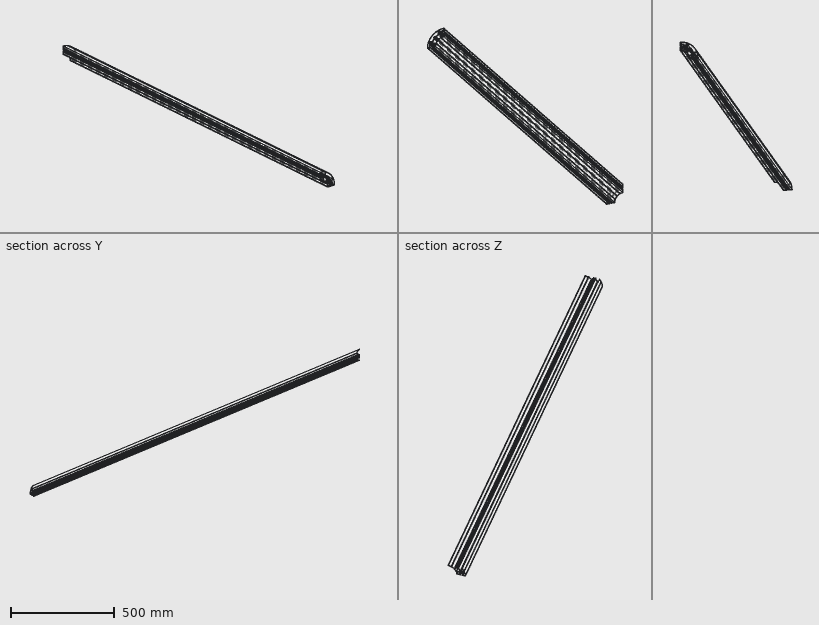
import cadquery as cq
import math

length = 2000.0
outer_size = 89.63
inner_radius = 44.92
corner_radius = 2.5

outer_radius = corner_radius + math.hypot(outer_size - corner_radius, corner_radius)
middle_radius = (outer_radius + inner_radius) / 2

skin = 1.7
end_wall = 3.0
web = 2.8
boss_wall = 2.9

slot_opening = 8.2
slot_width = 15.0
slot_depth = 15.5

end_hole_diameter = 7.28
end_hole_depth = 22.5
core_hole_diameter = 7.34
core_hole_radius = 69.0

outer_web_depth = 31.0
inner_web_depth = 17.6

diagonal = math.sqrt(0.5)
end_hole = (middle_radius, end_hole_depth)
core_hole = (core_hole_radius * diagonal, core_hole_radius * diagonal)


def bar(y_min, y_max, z_min, z_max):
    """Full-length bar of rectangular section."""
    centre = ((y_min + y_max) / 2, (z_min + z_max) / 2)
    return cq.Workplane("YZ").center(*centre).rect(y_max - y_min, z_max - z_min).extrude(length)


def rod(centre, diameter):
    """Full-length round bar."""
    return cq.Workplane("YZ").center(*centre).circle(diameter / 2).extrude(length)


def web_between(start, end):
    """Flat full-length web joining two points of the section."""
    run = end[0] - start[0]
    rise = end[1] - start[1]
    middle = ((start[0] + end[0]) / 2, (start[1] + end[1]) / 2)
    angle = math.degrees(math.atan2(rise, run))
    flat = cq.Workplane("YZ").rect(math.hypot(run, rise), web).extrude(length)
    return flat.rotate((0, 0, 0), (1, 0, 0), angle).translate((0, *middle))


def quarter_ring(outer, inner, wall):
    """Quarter ring whose ends stop short of the end faces by the wall thickness."""
    ring = cq.Workplane("YZ").circle(outer).circle(inner).extrude(length)
    return ring.intersect(bar(wall, outer, wall, outer))


def with_mirror(body):
    """A body together with its mirror image across the plane Y = Z."""
    image = body.mirror("XY").rotate((0, 0, 0), (1, 0, 0), 90)
    return body.union(image)


def slot_housing():
    """Solid material around one T-slot and its lips."""
    half_width = slot_width / 2 + web
    return bar(middle_radius - half_width, middle_radius + half_width, 0, slot_depth + web)


def slot_space():
    """Empty space of one T-slot."""
    half_opening = slot_opening / 2
    half_width = slot_width / 2
    opening = bar(middle_radius - half_opening, middle_radius + half_opening, 0, slot_depth)
    chamber = bar(middle_radius - half_width, middle_radius + half_width, end_wall, slot_depth)
    return opening.union(chamber)


def end_webs():
    """Webs around one end boss: to the outer skin, to the inner skin and to the core."""
    mid_skin_outer = outer_radius - skin / 2
    mid_skin_inner = inner_radius + skin / 2
    outer_reach = math.sqrt(mid_skin_outer**2 - outer_web_depth**2)
    inner_reach = math.sqrt(mid_skin_inner**2 - inner_web_depth**2)
    to_outer_skin = web_between((middle_radius, outer_web_depth), (outer_reach, outer_web_depth))
    to_inner_skin = web_between(end_hole, (inner_reach, inner_web_depth))
    to_core = web_between(end_hole, core_hole)
    return to_outer_skin.union(to_inner_skin).union(to_core)


def core():
    """Boss in the middle of the arc with its web to the inner skin."""
    foot = (inner_radius + skin / 2) * diagonal
    boss = rod(core_hole, core_hole_diameter + 2 * boss_wall)
    return boss.union(web_between(core_hole, (foot, foot)))


envelope = quarter_ring(outer_radius, inner_radius, 0).edges("|X").fillet(corner_radius)
hollow = quarter_ring(outer_radius - skin, inner_radius + skin, end_wall)

end_boss = rod(end_hole, end_hole_diameter + 2 * boss_wall)
end_structure = slot_housing().union(end_boss).union(end_webs())
hollow = hollow.cut(with_mirror(end_structure)).cut(core())

slot_and_hole = slot_space().union(rod(end_hole, end_hole_diameter))
result = envelope.cut(hollow).cut(with_mirror(slot_and_hole)).cut(rod(core_hole, core_hole_diameter))